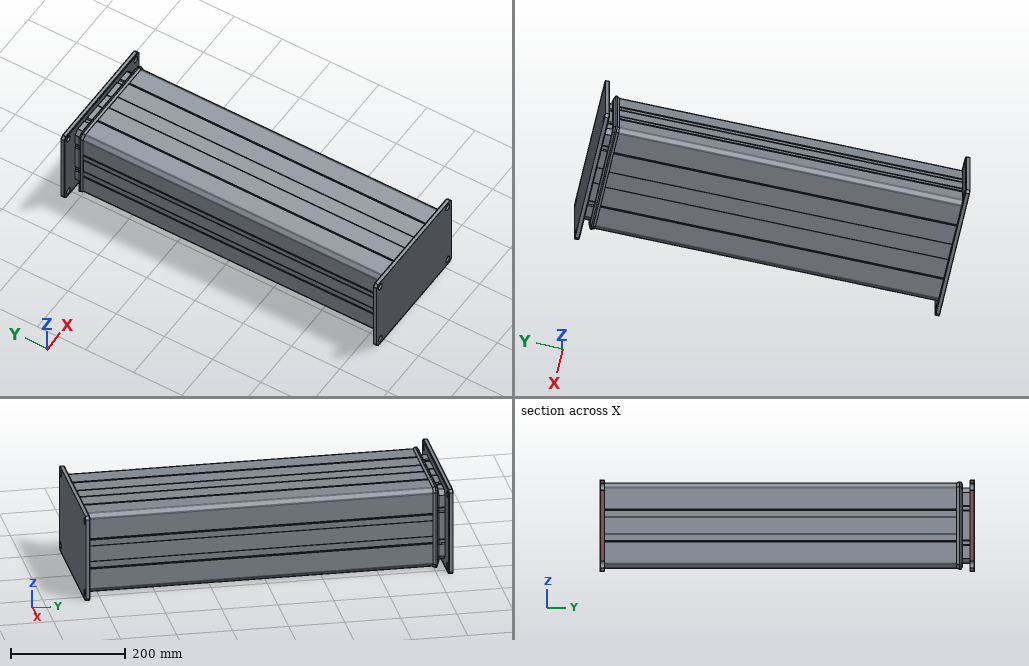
import cadquery as cq

LENGTH = 655.0
PLATE_WIDTH = 244.0
PLATE_HEIGHT = 160.0

RECESS_WIDTH = 29.5
RECESS_DEPTH = 1.0

PLATE_THICKNESS = 8.0
PLATE_CORNER_CHAMFER = 5.0
PLATE_EDGE_CHAMFER = 1.0
HOLE_DIAMETER = 12.0
HOLE_SPACING_X = 220.0
HOLE_SPACING_Z = 136.0

TUBE_WIDTH = 196.5
TUBE_HEIGHT = 149.5
TUBE_CORNER_CHAMFER = 8.0
TUBE_CORNER_BLEND = 2.5
TUBE_GROOVE_WIDTH = 2.5
TUBE_GROOVE_DEPTH = 1.0
TUBE_GROOVE_X = 52.0
TUBE_GROOVE_Z = 27.5

COLLAR_OVERHANG = 2.0
COLLAR_REAR_INSET = 5.0
COLLAR_REAR_LENGTH = 3.0
COLLAR_BAND_LENGTH = 2.5
COLLAR_FRONT_LENGTH = 4.5
COLLAR_CORNER_CHAMFER = 8.0
COLLAR_GAP = 12.5

INNER_WIDTH = 177.0
INNER_HEIGHT = 132.0
INNER_CORNER_CHAMFER = 8.5
INNER_GROOVE_WIDTH = 10.0
INNER_GROOVE_DEPTH = 2.0
INNER_GROOVE_X = 54.0
INNER_GROOVE_Z = 30.0

TUBE_START = PLATE_THICKNESS
REAR_PLATE_START = LENGTH - PLATE_THICKNESS
COLLAR_END = REAR_PLATE_START - COLLAR_GAP
COLLAR_BAND_END = COLLAR_END - COLLAR_REAR_LENGTH
COLLAR_BAND_START = COLLAR_BAND_END - COLLAR_BAND_LENGTH
COLLAR_START = COLLAR_BAND_START - COLLAR_FRONT_LENGTH


def bar(width, height, start, end):
    """Rectangular bar centred on the column axis, between two Y positions."""
    return cq.Workplane("XY").box(width, end - start, height).translate((0, (start + end) / 2, 0))


def end_plate(start, inner_face):
    """Mounting plate with cut corners, four holes and a bevelled inner rim."""
    plate = bar(PLATE_WIDTH, PLATE_HEIGHT, start, start + PLATE_THICKNESS)
    plate = plate.edges("|Y").chamfer(PLATE_CORNER_CHAMFER)
    plate = plate.faces(inner_face).chamfer(PLATE_EDGE_CHAMFER)
    holes = (
        cq.Workplane("XZ", origin=(0, start + PLATE_THICKNESS, 0))
        .rect(HOLE_SPACING_X, HOLE_SPACING_Z, forConstruction=True)
        .vertices()
        .circle(HOLE_DIAMETER / 2)
        .extrude(PLATE_THICKNESS)
    )
    return plate.cut(holes)


def groove_cutter(width, depth, place, reach, start, end):
    """Groove in the top side at height `reach`, its walls sloping inward at 45 degrees."""
    half_width = width / 2
    half_floor = half_width - depth
    return (
        cq.Workplane("XZ", origin=(place, end, reach))
        .polyline([(-half_width, 0), (half_width, 0), (half_floor, -depth), (-half_floor, -depth)])
        .close()
        .extrude(end - start)
    )


def cut_grooves(body, width, height, groove_x, groove_z, groove_width, depth, start, end):
    """Cut two lengthwise grooves into each of the four sides of a bar."""
    for place in (-groove_x, groove_x):
        flat = groove_cutter(groove_width, depth, place, height / 2, start, end)
        body = body.cut(flat).cut(flat.mirror("XY"))
    for place in (-groove_z, groove_z):
        upright = groove_cutter(groove_width, depth, place, width / 2, start, end)
        upright = upright.rotate((0, 0, 0), (0, 1, 0), 90)
        body = body.cut(upright).cut(upright.mirror("YZ"))
    return body


def cut_flat_recesses(body, height, start, end):
    """Cut the middle recess into the top and bottom sides of a bar."""
    for side in (-1, 1):
        recess = bar(RECESS_WIDTH, 2 * RECESS_DEPTH, start, end)
        body = body.cut(recess.translate((0, 0, side * height / 2)))
    return body


def cut_upright_recesses(body, width, start, end):
    """Cut the middle recess into the left and right sides of a bar."""
    for side in (-1, 1):
        recess = bar(2 * RECESS_DEPTH, RECESS_WIDTH, start, end)
        body = body.cut(recess.translate((side * width / 2, 0, 0)))
    return body


def outer_tube():
    span = (TUBE_START, COLLAR_START)
    tube = bar(TUBE_WIDTH, TUBE_HEIGHT, *span)
    tube = tube.edges("|Y").chamfer(TUBE_CORNER_CHAMFER)
    tube = tube.edges("|Y").fillet(TUBE_CORNER_BLEND)
    tube = cut_grooves(
        tube, TUBE_WIDTH, TUBE_HEIGHT, TUBE_GROOVE_X, TUBE_GROOVE_Z,
        TUBE_GROOVE_WIDTH, TUBE_GROOVE_DEPTH, *span,
    )
    tube = cut_flat_recesses(tube, TUBE_HEIGHT, *span)
    return cut_upright_recesses(tube, TUBE_WIDTH, *span)


def collar_outline(overhang):
    """Outline with cut corners that stands out from the outer tube by `overhang`."""
    width = TUBE_WIDTH + 2 * overhang
    height = TUBE_HEIGHT + 2 * overhang
    return cq.Sketch().rect(width, height).vertices().chamfer(COLLAR_CORNER_CHAMFER)


def collar_section(rear_overhang, front_overhang, start, end):
    """Straight-sided stretch of the collar from its rear outline to its front outline."""
    rear = collar_outline(rear_overhang)
    front = collar_outline(front_overhang).moved(cq.Location(cq.Vector(0, 0, end - start)))
    return cq.Workplane("XZ", origin=(0, end, 0)).placeSketch(rear, front).loft()


def collar():
    """Flat band with a short steep bevel behind it and a long bevel down to the tube in front."""
    rear_overhang = COLLAR_OVERHANG - COLLAR_REAR_INSET
    rear = collar_section(rear_overhang, COLLAR_OVERHANG, COLLAR_BAND_END, COLLAR_END)
    band = collar_section(COLLAR_OVERHANG, COLLAR_OVERHANG, COLLAR_BAND_START, COLLAR_BAND_END)
    front = collar_section(COLLAR_OVERHANG, 0, COLLAR_START, COLLAR_BAND_START)
    return rear.union(band).union(front)


def inner_tube():
    span = (COLLAR_END, REAR_PLATE_START)
    tube = bar(INNER_WIDTH, INNER_HEIGHT, *span).edges("|Y").chamfer(INNER_CORNER_CHAMFER)
    tube = cut_grooves(
        tube, INNER_WIDTH, INNER_HEIGHT, INNER_GROOVE_X, INNER_GROOVE_Z,
        INNER_GROOVE_WIDTH, INNER_GROOVE_DEPTH, *span,
    )
    return cut_flat_recesses(tube, INNER_HEIGHT, *span)


result = (
    end_plate(0, ">Y")
    .union(outer_tube())
    .union(collar())
    .union(inner_tube())
    .union(end_plate(REAR_PLATE_START, "<Y"))
)